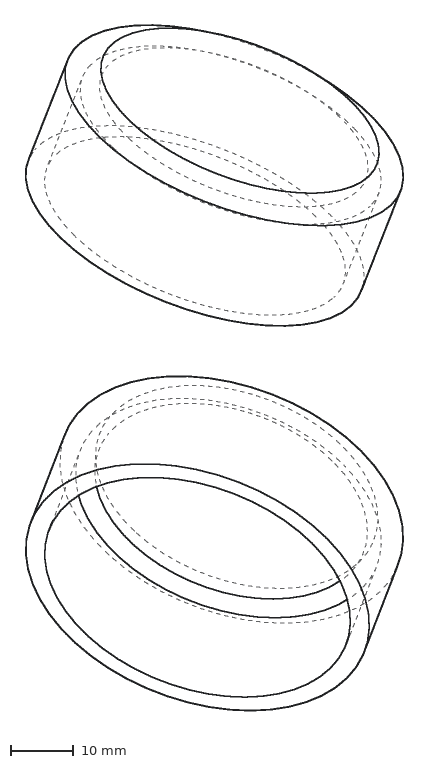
import cadquery as cq
import math

outer_diameter = 57.1
bore_diameter = 50.8
top_diameter = 47.0
side_height = 19.35
shoulder_height = 2.8
tilt_angle = 24.0

wall = (outer_diameter - bore_diameter) / 2
shoulder_width = (outer_diameter - top_diameter) / 2
shoulder_slope = math.atan2(shoulder_height, shoulder_width)

bore_depth = side_height - wall * math.tan((math.pi / 2 - shoulder_slope) / 2)
ceiling_height = side_height + shoulder_height - wall
ceiling_diameter = top_diameter - 2 * wall * math.tan(shoulder_slope / 2)


def tapered_cylinder(base_diameter, straight_height, end_diameter, total_height):
    """Solid cylinder from Z = 0 that narrows to a flat end."""
    return (
        cq.Workplane("XZ")
        .lineTo(base_diameter / 2, 0)
        .lineTo(base_diameter / 2, straight_height)
        .lineTo(end_diameter / 2, total_height)
        .lineTo(0, total_height)
        .close()
        .revolve(360, (0, 0), (0, 1))
    )


body = tapered_cylinder(outer_diameter, side_height, top_diameter, side_height + shoulder_height)
cavity = tapered_cylinder(bore_diameter, bore_depth, ceiling_diameter, ceiling_height)

result = body.cut(cavity).rotate((0, 0, 0), (1, 0, 0), -tilt_angle)